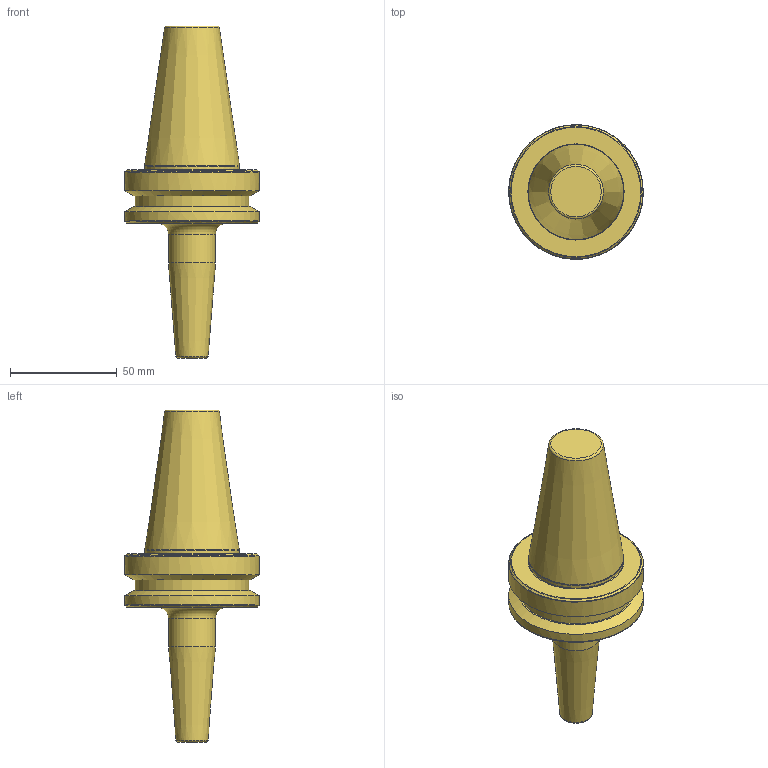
import cadquery as cq
import math


gauge_radius = 44.45 / 2
shank_length = 65.4
taper_slope = 7 / 48
shank_end_fillet = 1.0
gauge_line_blend = 3.0
shank_root_fillet = 0.3

flange_radius = 63 / 2
flange_top = -2.0
flange_bottom = -27.0
rim_chamfer = 1.0
rim_blend = 0.4

groove_floor_radius = 53 / 2
groove_mouth_width = 10.0
groove_floor_width = 5.0
groove_middle = -16.6
groove_flank_angle = 30

nose_radius = 11.0
nose_root_fillet = 5.0
nose_tip_radius = 7.5
nose_end = -90.0
nose_cone_angle = 4.5
nose_end_fillet = 1.0

edge_tolerance = 0.01


def taper_radius(height):
    """Radius of the shank taper at a height above the gauge plane."""
    return gauge_radius - taper_slope * height


def circle_at(height, radius):
    """Selector for the circular edge of a given radius at a given height."""
    reach = radius + edge_tolerance
    return cq.selectors.BoxSelector(
        (-reach, -reach, height - edge_tolerance),
        (reach, reach, height + edge_tolerance),
        boundingbox=True,
    )


def make_shank():
    """Tapered shank with a short cylinder joining it to the flange."""
    return (
        cq.Workplane("XZ")
        .moveTo(0, flange_top)
        .lineTo(gauge_radius, flange_top)
        .lineTo(gauge_radius, 0)
        .lineTo(taper_radius(shank_length), shank_length)
        .lineTo(0, shank_length)
        .close()
        .revolve()
        .faces(">Z")
        .fillet(shank_end_fillet)
        .edges(circle_at(0, gauge_radius))
        .fillet(gauge_line_blend)
    )


def make_flange():
    """Flange disc with chamfered rims and the V-groove turned into it."""
    disc = (
        cq.Workplane("XY")
        .workplane(offset=flange_bottom)
        .circle(flange_radius)
        .extrude(flange_top - flange_bottom)
        .faces(">Z")
        .chamfer(rim_chamfer)
        .faces("<Z")
        .chamfer(rim_chamfer)
        .edges("%CIRCLE")
        .fillet(rim_blend)
    )
    half_mouth = groove_mouth_width / 2
    half_floor = groove_floor_width / 2
    flank_depth = (half_mouth - half_floor) / math.tan(math.radians(groove_flank_angle))
    flank_foot_radius = flange_radius - flank_depth
    groove = (
        cq.Workplane("XZ")
        .moveTo(groove_floor_radius, groove_middle - half_floor)
        .lineTo(flank_foot_radius, groove_middle - half_floor)
        .lineTo(flange_radius, groove_middle - half_mouth)
        .lineTo(flange_radius, groove_middle + half_mouth)
        .lineTo(flank_foot_radius, groove_middle + half_floor)
        .lineTo(groove_floor_radius, groove_middle + half_floor)
        .close()
        .revolve()
    )
    return disc.cut(groove)


def make_nose():
    """Nose with a filleted root, a straight neck and a slender cone."""
    nose_cone_length = (nose_radius - nose_tip_radius) / math.tan(math.radians(nose_cone_angle))
    nose_cone_top = nose_end + nose_cone_length
    fillet_centre_radius = nose_radius + nose_root_fillet
    fillet_centre_height = flange_bottom - nose_root_fillet
    fillet_mid_offset = nose_root_fillet * math.sqrt(0.5)
    return (
        cq.Workplane("XZ")
        .moveTo(0, flange_bottom)
        .lineTo(fillet_centre_radius, flange_bottom)
        .threePointArc(
            (fillet_centre_radius - fillet_mid_offset, fillet_centre_height + fillet_mid_offset),
            (nose_radius, fillet_centre_height),
        )
        .lineTo(nose_radius, nose_cone_top)
        .lineTo(nose_tip_radius, nose_end)
        .lineTo(0, nose_end)
        .close()
        .revolve()
        .faces("<Z")
        .fillet(nose_end_fillet)
    )


body = make_flange().union(make_shank()).union(make_nose())
result = body.edges(circle_at(flange_top, gauge_radius)).fillet(shank_root_fillet)